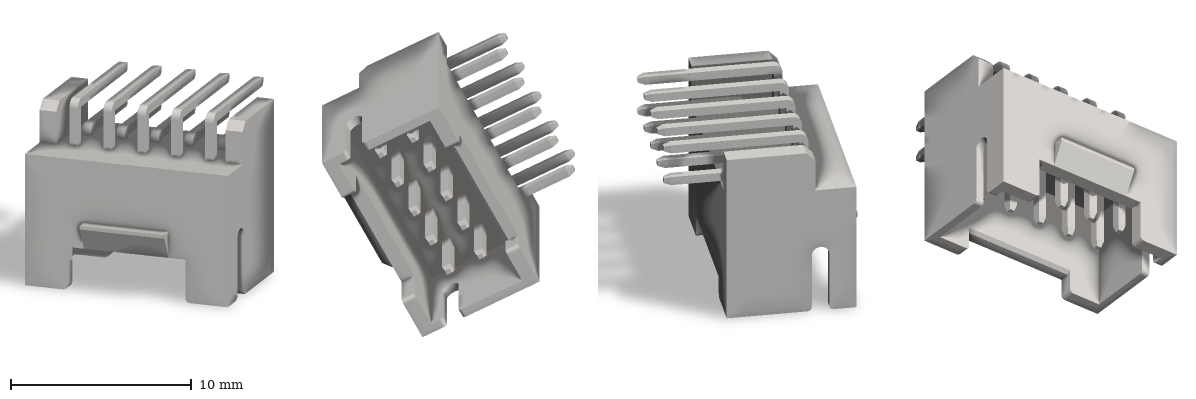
import cadquery as cq

WIDTH = 12.0
DEPTH = 7.3
HEIGHT = 7.6
WALL = 0.8
SIDE_WALL = 0.5
CAVITY_HEIGHT = 6.0

EAR_WIDTH = 1.0
EAR_TOP = 9.98
EAR_SETBACK = 2.3
EAR_CHAMFER = 0.5

NOTCH_WIDTH = 7.0
FRONT_NOTCH_HEIGHT = 2.48
BACK_NOTCH_HEIGHT = 1.26
BACK_LEAD_IN = 0.2
SLOT_WIDTH = 1.0
SLOT_HEIGHT = 4.0
SLOT_CENTER_Y = 2.02
EDGE_RADIUS = 0.24

LATCH_WIDTH = 5.0
LATCH_REACH = 0.7
LATCH_LIP = 0.2
LATCH_TOP = 4.0

ROWS = 2
PINS_PER_ROW = 5
PITCH = 2.0
PIN_SIZE = 0.5
PIN_TOP = 10.25
PIN_REAR = 10.5
PIN_BOTTOM = 2.17
TIP_LENGTH = 0.4
TIP_SIZE = 0.29


def box(x_size, y_min, y_max, z_min, z_max, x_center=0.0):
    """Box centred on x_center, between the given Y and Z limits."""
    size = (x_size, y_max - y_min, z_max - z_min)
    corner = (x_center - x_size / 2, y_min, z_min)
    return cq.Workplane("XY").box(*size, centered=False).translate(corner)


def side_profile(points, x_size):
    """Extrude a closed (Y, Z) outline symmetrically along X."""
    return cq.Workplane("YZ").polyline(points).close().extrude(x_size / 2, both=True)


def ear(x_center):
    block = box(EAR_WIDTH, EAR_SETBACK, DEPTH, HEIGHT, EAR_TOP, x_center)
    return block.faces("<Y").edges(">Z").chamfer(EAR_CHAMFER)


def mouth_opening(plane, width, height):
    """Outline of an opening that widens by a round at the bottom edge of a wall."""
    half = width / 2
    r = EDGE_RADIUS
    return (
        cq.Workplane(plane)
        .moveTo(-half - r, 0)
        .radiusArc((-half, r), -r)
        .lineTo(-half, height)
        .lineTo(half, height)
        .lineTo(half, r)
        .radiusArc((half + r, 0), -r)
        .close()
    )


def front_notch():
    return mouth_opening("XZ", NOTCH_WIDTH, FRONT_NOTCH_HEIGHT).extrude(-WALL)


def back_notch():
    """Opening in the back wall with a bevel along its inner upper edge."""
    inner_y = DEPTH - WALL
    notch = mouth_opening("XZ", NOTCH_WIDTH, BACK_NOTCH_HEIGHT).extrude(-WALL)
    bevel = side_profile(
        [
            (inner_y, BACK_NOTCH_HEIGHT),
            (inner_y + BACK_LEAD_IN, BACK_NOTCH_HEIGHT),
            (inner_y, BACK_NOTCH_HEIGHT + BACK_LEAD_IN),
        ],
        NOTCH_WIDTH,
    )
    return notch.translate((0, inner_y, 0)).union(bevel)


def side_slots():
    """Round-topped slot running through both side walls."""
    round_center_z = SLOT_HEIGHT - SLOT_WIDTH / 2
    slot = mouth_opening("YZ", SLOT_WIDTH, round_center_z).extrude(WIDTH / 2, both=True)
    top = cq.Workplane("YZ").center(0, round_center_z).circle(SLOT_WIDTH / 2)
    return slot.union(top.extrude(WIDTH / 2, both=True)).translate((0, SLOT_CENTER_Y, 0))


def latch():
    return side_profile(
        [
            (0, LATCH_TOP),
            (-LATCH_REACH, LATCH_TOP),
            (-LATCH_REACH, LATCH_TOP - LATCH_LIP),
            (0, FRONT_NOTCH_HEIGHT),
        ],
        LATCH_WIDTH,
    )


def pin_tip(base_center, direction):
    """Blunt square taper growing from base_center along direction."""
    base = cq.Plane(origin=base_center, xDir=(1, 0, 0), normal=direction)
    return (
        cq.Workplane(base)
        .rect(PIN_SIZE, PIN_SIZE)
        .workplane(offset=TIP_LENGTH)
        .rect(TIP_SIZE, TIP_SIZE)
        .loft()
    )


def pin(row_y, top):
    """Pin rising at row_y, then bent to the rear with its upper face at top."""
    half = PIN_SIZE / 2
    front = row_y - half
    back = row_y + half
    foot = PIN_BOTTOM + TIP_LENGTH
    rear = PIN_REAR - TIP_LENGTH
    shank = (
        cq.Workplane("YZ")
        .moveTo(front, foot)
        .lineTo(front, top - PIN_SIZE)
        .radiusArc((back, top), PIN_SIZE)
        .lineTo(rear, top)
        .lineTo(rear, top - PIN_SIZE)
        .lineTo(back, top - PIN_SIZE)
        .lineTo(back, foot)
        .close()
        .extrude(half, both=True)
    )
    lower_tip = pin_tip((0, row_y, foot), (0, 0, -1))
    rear_tip = pin_tip((0, rear, top - half), (0, 1, 0))
    return shank.union(lower_tip).union(rear_tip)


def housing():
    body = box(WIDTH, 0, DEPTH, 0, HEIGHT)
    for side in (-1, 1):
        body = body.union(ear(side * (WIDTH - EAR_WIDTH) / 2))
    cavity = box(WIDTH - 2 * SIDE_WALL, WALL, DEPTH - WALL, 0, CAVITY_HEIGHT)
    for opening in (cavity, front_notch(), back_notch(), side_slots()):
        body = body.cut(opening)
    return body.union(latch())


result = housing()

for row in range(ROWS):
    row_y = DEPTH / 2 + (row - (ROWS - 1) / 2) * PITCH
    row_pin = pin(row_y, PIN_TOP - row * PITCH)
    for index in range(PINS_PER_ROW):
        pin_x = (index - (PINS_PER_ROW - 1) / 2) * PITCH
        result = result.union(row_pin.translate((pin_x, 0, 0)))